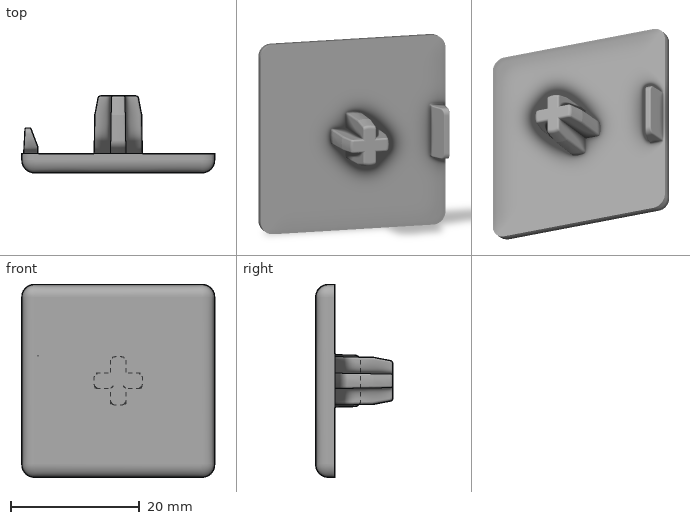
import cadquery as cq
import math

plate_size = 30.0
plate_depth = 3.0
plate_radius = 2.0

total_depth = 12.0
draft = math.tan(math.radians(1.0))
plug_root_radius = 3.78
plug_taper_start_y = 9.0
plug_tip_radius = 3.1
plug_tip_edge_radius = 0.5
blade_root_thickness = 2.4
blade_edge_radius = 0.3

tab_tip_y = 7.0
tab_outer_root_x = -14.72
tab_outer_tip_x = -14.5
tab_inner_root_x = -12.5
tab_inner_tip_x = -13.6
tab_straight_height = 1.1
tab_root_width = 8.15
tab_corner_radius = 1.0
tab_edge_radius = 0.2
tab_foot_radius = 0.2


def prism_along_z(points, length):
    """Prism of an XY outline, centred on z = 0."""
    return cq.Workplane("XY").polyline(points).close().extrude(length / 2, both=True)


def prism_along_x(half_widths, start_x, length):
    """Prism along X, symmetric about z = 0, from (y, half width) pairs."""
    right_side = [(y, half) for y, half in half_widths]
    left_side = [(y, -half) for y, half in reversed(half_widths)]
    outline = cq.Workplane("YZ", origin=(start_x, 0, 0)).polyline(right_side + left_side).close()
    return outline.extrude(length)


def make_plate():
    plate = cq.Workplane("XY").box(plate_size, plate_depth, plate_size, centered=(True, False, True))
    plate = plate.edges("|Y").fillet(plate_radius)
    return plate.faces("<Y").edges().fillet(plate_radius)


def make_plug_envelope():
    """Round body about the Y axis that the blade ends lie on."""
    shoulder_radius = plug_root_radius - (plug_taper_start_y - plate_depth) * draft
    half_section = [
        (0, plate_depth),
        (plug_root_radius, plate_depth),
        (shoulder_radius, plug_taper_start_y),
        (plug_tip_radius, total_depth),
        (0, total_depth),
    ]
    envelope = cq.Workplane("XY").polyline(half_section).close().revolve(360, (0, 0, 0), (0, 1, 0))
    return envelope.faces(">Y").edges().fillet(plug_tip_edge_radius)


def make_blade():
    """Drafted blade lying across X, with all edges above its root rounded."""
    root_half = blade_root_thickness / 2
    tip_half = root_half - (total_depth - plate_depth) * draft
    thickness_profile = [(plate_depth, root_half), (total_depth, tip_half)]
    slab = prism_along_x(thickness_profile, -plug_root_radius, 2 * plug_root_radius)
    blade = make_plug_envelope().intersect(slab)
    return blade.faces("<Z or >Z").edges("not <Y").fillet(blade_edge_radius)


def make_plug():
    blade = make_blade()
    return blade.union(blade.rotate((0, 0, 0), (0, 1, 0), 90))


def make_tab():
    """Wedge-shaped tab with rounded tip corners and rounded edges."""
    wedge_outline = [
        (tab_outer_root_x, plate_depth),
        (tab_inner_root_x, plate_depth),
        (tab_inner_root_x, plate_depth + tab_straight_height),
        (tab_inner_tip_x, tab_tip_y),
        (tab_outer_tip_x, tab_tip_y),
    ]
    wedge = prism_along_z(wedge_outline, tab_root_width)
    root_half = tab_root_width / 2
    tip_half = root_half - (tab_tip_y - plate_depth) * draft
    width_profile = [(plate_depth, root_half), (tab_tip_y, tip_half)]
    sides = prism_along_x(width_profile, tab_outer_root_x, tab_inner_root_x - tab_outer_root_x)
    sides = sides.faces(">Y").edges("|X").fillet(tab_corner_radius)
    tab = wedge.intersect(sides)
    broad_faces = tab.faces("#Z and (not |Y)")
    return broad_faces.edges("not <Y").fillet(tab_edge_radius)


def blend_tab_foot(body):
    """Fillet the seam where the tab meets the plate."""
    tab_x_middle = (tab_outer_root_x + tab_inner_root_x) / 2
    search_length = tab_inner_root_x - tab_outer_root_x + tab_foot_radius
    search_width = tab_root_width + tab_foot_radius
    seam_box = cq.selectors.BoxSelector(
        (tab_x_middle - search_length / 2, plate_depth - tab_foot_radius / 2, -search_width / 2),
        (tab_x_middle + search_length / 2, plate_depth + tab_foot_radius / 2, search_width / 2),
    )
    return body.edges(seam_box).fillet(tab_foot_radius)


plate_with_tab = blend_tab_foot(make_plate().union(make_tab()))
result = plate_with_tab.union(make_plug())